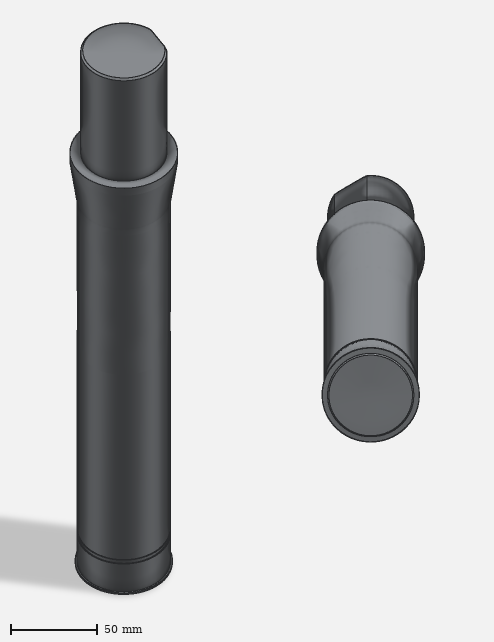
import cadquery as cq

total_height = 401.0

rod_radius = 50.0 / 2
rod_top_chamfer = 1.2
rod_foot_chamfer = 1.0
rod_cone_height = 1.2
flat_distance = 22.5
flat_ramp_gap = 2.5

collar_radius = 62.5 / 2
neck_radius = 54.5 / 2
tube_radius = 54.0 / 2
lip_radius = 56.5 / 2
groove_depth = 0.5

collar_top = 321.5
collar_band_height = 6.0
neck_top = 285.5
neck_bottom = 280.5
taper_bottom = 172.0
groove_top = 27.5
groove_bottom = 25.0
lip_top = 3.2
lip_bottom = rod_cone_height + rod_foot_chamfer


def make_rod():
    """Turned bar with a shallow conical foot, cut by a flat that ramps out above the collar."""
    bar = (
        cq.Workplane("XZ")
        .moveTo(0, 0)
        .lineTo(0, total_height)
        .lineTo(rod_radius - rod_top_chamfer, total_height)
        .lineTo(rod_radius, total_height - rod_top_chamfer)
        .lineTo(rod_radius, rod_cone_height + rod_foot_chamfer)
        .lineTo(rod_radius - rod_foot_chamfer, rod_cone_height)
        .close()
        .revolve(360, (0, 0), (0, 1))
    )
    flat_depth = rod_radius - flat_distance
    ramp_outer = collar_top + flat_ramp_gap
    ramp_inner = ramp_outer + flat_depth
    flat_cutter = (
        cq.Workplane("YZ")
        .moveTo(rod_radius, ramp_outer)
        .lineTo(flat_distance, ramp_inner)
        .lineTo(flat_distance, total_height)
        .lineTo(rod_radius, total_height)
        .close()
        .extrude(rod_radius, both=True)
    )
    return bar.cut(flat_cutter)


def make_sleeve():
    """Turned tube around the rod, with its bore matching the rod."""
    groove_radius = tube_radius - groove_depth
    return (
        cq.Workplane("XZ")
        .moveTo(rod_radius, collar_top)
        .lineTo(collar_radius, collar_top)
        .lineTo(collar_radius, collar_top - collar_band_height)
        .lineTo(neck_radius, neck_top)
        .lineTo(neck_radius, neck_bottom)
        .lineTo(tube_radius, taper_bottom)
        .lineTo(tube_radius, groove_top)
        .lineTo(groove_radius, groove_top)
        .lineTo(groove_radius, groove_bottom)
        .lineTo(neck_radius, groove_bottom)
        .lineTo(neck_radius, lip_top)
        .lineTo(lip_radius, lip_top)
        .lineTo(lip_radius, lip_bottom)
        .lineTo(rod_radius, lip_bottom)
        .close()
        .revolve(360, (0, 0), (0, 1))
    )


rod = make_rod()
sleeve = make_sleeve()

result = cq.Compound.makeCompound([rod.val(), sleeve.val()])